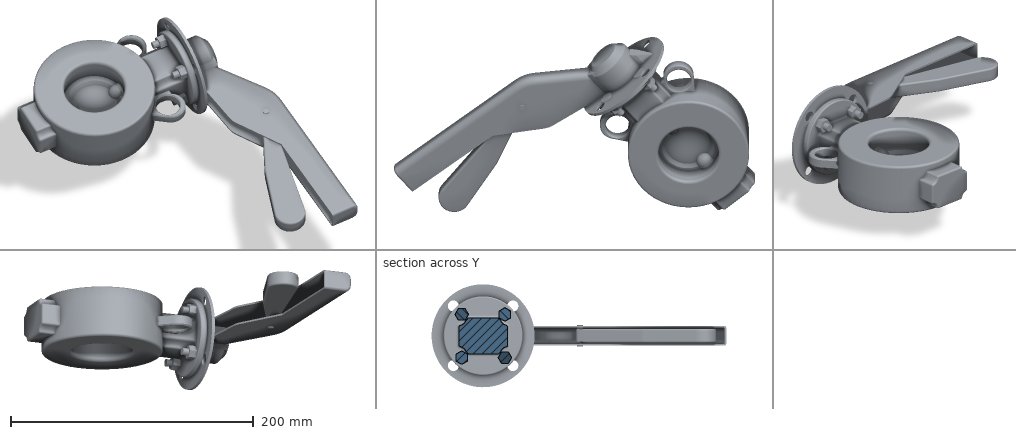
import cadquery as cq
import math


body_dia = 100.0
body_height = 42.5
body_fillet = 2.0
bore_dia = 50.0
bore_fillet = 2.5

neck_half_width = 20.15
neck_half_height = 14.9
neck_notch_radius = 6.0
neck_edge_fillet = 1.8
neck_root_fillet = 2.0
boss_end_y = -61.5

flange_dia = 65.0
flange_bottom_y = 75.0
flange_top_y = 80.6
flange_fillet = 1.0

ear_x = 34.3
ear_y = 52.8
ear_dia = 25.0
ear_hole_dia = 20.0
ear_hole_x = 33.0
ear_hole_y = 51.0
ear_thickness = 8.5
ear_chamfer = 1.0
ear_web_top_y = 59.4
ear_web_angle = 37.0
ear_web_length = 20.0

disc_thickness = 7.0
disc_recess_depth = 2.5
disc_recess_rim_dia = 42.5
disc_recess_floor_dia = 36.8
disc_recess_shift = 1.13
hub_collar_dia = 15.5
hub_collar_inner_y = 22.5
hub_dome_dia = 15.0
hub_dome_y = 21.5

plate_dia = 85.0
plate_top_y = 83.2
plate_hole_dia = 9.0
plate_hole_offset = 24.5

bolt_offset = 17.8
bolt_dia = 6.0
bolt_end_y = 63.9
bolt_head_dia = 11.0
bolt_head_height = 0.8
nut_corner_dia = 11.5
nut_end_y = 69.0

cap_dia = 37.5
cap_top_y = 108.2
cap_chamfer = 6.0
root_start_x = 14.8
root_end_x = 19.5
root_start_half_height = 11.5
root_top_y = 105.2
lever_start_x = 15.0
lever_roof_start = (lever_start_x, 103.5)
lever_knee = (62.9, 135.7)
lever_top_y = 140.3
lever_end_foot_y = 116.2
lever_end_lean = 0.3
lever_grip_start = (115.7, 113.2)
lever_belly = (75.5, 88.7)
lever_heel = (29.3, plate_top_y)
lever_end_x = 250.5 - body_dia / 2
lever_height = 16.3
lever_wall = 1.5
lever_roof_fillet = 5.3
lever_end_fillet = 2.0
lever_knee_radius = 32.5
lever_belly_radius = 18.8
pointer_tip_x = -31.5
pointer_shoulder_x = -22.3
pointer_half_height = 5.3
pointer_tip_half_height = 1.13

pin_x = 80.0
pin_y = 117.7
pin_dia = 5.0
pin_length = 18.0
trigger_eye_radius = 3.3
trigger_tip_x = 179.0
trigger_tip_y = 87.7
trigger_tip_radius = 12.8
trigger_bend_x = 131.5
trigger_bend_y = 89.5
trigger_top_angle = 78.2
trigger_front_angle = 252.0
trigger_rear_angle = 241.5
trigger_height = 11.5
trigger_fillet = 1.5


def y_cylinder(dia, y_from, y_to, x=0.0, z=0.0):
    """Cylinder along Y between two Y positions."""
    return cq.Workplane("XZ", origin=(x, y_from, z)).circle(dia / 2).extrude(y_from - y_to)


def z_cylinder(dia, length, x=0.0, y=0.0):
    """Cylinder along Z, centred on the plane Z = 0."""
    return cq.Workplane("XY", origin=(x, y, -length / 2)).circle(dia / 2).extrude(length)


def on_circle(x, y, radius, degrees):
    """Point on a circle around x, y at an angle from +X."""
    angle = math.radians(degrees)
    return (x + radius * math.cos(angle), y + radius * math.sin(angle))


def mid_plane(height):
    """Workplane from which an extrusion of this height is centred on Z = 0."""
    return cq.Workplane("XY", origin=(0, 0, -height / 2))


def four_corners(offset):
    """The X, Z places of four features on a square pattern."""
    return [(x, z) for x in (-offset, offset) for z in (-offset, offset)]


def make_neck(y_from, y_to):
    """Rectangular bar along Y with a concave notch along each corner."""
    bar = cq.Workplane("XZ", origin=(0, y_from, 0)).rect(2 * neck_half_width, 2 * neck_half_height)
    bar = bar.extrude(y_from - y_to)
    for x in (-neck_half_width, neck_half_width):
        for z in (-neck_half_height, neck_half_height):
            bar = bar.cut(y_cylinder(2 * neck_notch_radius, y_from, y_to, x, z))
    return bar.edges("|Y").fillet(neck_edge_fillet)


def make_ear(side):
    """Ring beside the neck with a flat web to the body; side is -1 or +1 along X."""
    tangent_x, tangent_y = on_circle(ear_x, ear_y, ear_dia / 2, -ear_web_angle)
    inner_x, inner_y = on_circle(tangent_x, tangent_y, ear_web_length, -90 - ear_web_angle)
    web = [
        (side * ear_x, ear_y),
        (side * tangent_x, tangent_y),
        (side * inner_x, inner_y),
        (side * neck_half_width / 2, inner_y),
        (side * neck_half_width / 2, ear_web_top_y),
        (side * ear_x, ear_web_top_y),
    ]
    ear = mid_plane(ear_thickness).polyline(web).close().extrude(ear_thickness)
    ear = ear.union(z_cylinder(ear_dia, ear_thickness, side * ear_x, ear_y))
    ear = ear.cut(z_cylinder(ear_hole_dia, ear_thickness, side * ear_hole_x, ear_hole_y))
    return ear.faces("<Z or >Z").edges().chamfer(ear_chamfer)


def make_housing():
    """Round body with its bore, ears, bottom boss and the neck that carries the bolted flange."""
    flange = y_cylinder(flange_dia, flange_bottom_y, flange_top_y).edges().fillet(flange_fillet)
    upper = flange.union(make_neck(0, flange_bottom_y))
    root_edges = cq.selectors.BoxSelector(
        (-neck_half_width - 2.5, flange_bottom_y - 0.03, -neck_half_height - 2.5),
        (neck_half_width + 2.5, flange_bottom_y + 0.03, neck_half_height + 2.5),
        boundingbox=True,
    )
    upper = upper.edges(root_edges).fillet(neck_root_fillet)
    boss = make_neck(boss_end_y, 0).faces("<Y").edges().fillet(neck_edge_fillet)
    body = z_cylinder(body_dia, body_height).edges().fillet(body_fillet)
    housing = body.union(upper).union(boss)
    for side in (-1, 1):
        housing = housing.union(make_ear(side))
    for x, z in four_corners(bolt_offset):
        housing = housing.cut(y_cylinder(bolt_dia, bolt_end_y, flange_top_y, x, z))
        housing = housing.cut(y_cylinder(nut_corner_dia, nut_end_y, flange_bottom_y, x, z))
    housing = housing.cut(z_cylinder(bore_dia, body_height))
    bore_rims = cq.selectors.RadiusNthSelector(0)
    return housing.faces("<Z or >Z").edges(bore_rims).fillet(bore_fillet)


def make_disc():
    """Closed disc, dished on both faces, with a domed hub at each end of the stem axis."""
    disc = z_cylinder(bore_dia, disc_thickness)
    recess = (
        mid_plane(disc_thickness)
        .center(disc_recess_shift, 0)
        .circle(disc_recess_rim_dia / 2)
        .workplane(offset=disc_recess_depth)
        .circle(disc_recess_floor_dia / 2)
        .loft()
    )
    disc = disc.cut(recess).cut(recess.mirror("XY"))
    for side in (-1, 1):
        collar = y_cylinder(hub_collar_dia, side * hub_collar_inner_y, side * bore_dia / 2)
        dome = cq.Workplane("XY").center(0, side * hub_dome_y).sphere(hub_dome_dia / 2)
        disc = disc.union(collar).union(dome)
    return disc.intersect(z_cylinder(bore_dia, body_height))


def make_plate():
    """Round plate on the flange, with four open holes and four bolt holes."""
    plate = y_cylinder(plate_dia, flange_top_y, plate_top_y)
    for x, z in four_corners(plate_hole_offset):
        plate = plate.cut(y_cylinder(plate_hole_dia, flange_top_y, plate_top_y, x, z))
    for x, z in four_corners(bolt_offset):
        plate = plate.cut(y_cylinder(bolt_dia, flange_top_y, plate_top_y, x, z))
    return plate


def make_bolt(x, z):
    """Bolt with its flat head on the plate and its hex nut under the flange."""
    bolt = y_cylinder(bolt_dia, bolt_end_y, plate_top_y, x, z)
    head = y_cylinder(bolt_head_dia, plate_top_y, plate_top_y + bolt_head_height, x, z)
    nut = cq.Workplane("XZ", origin=(x, nut_end_y, z)).polygon(6, nut_corner_dia)
    nut = nut.extrude(nut_end_y - flange_bottom_y)
    if x * z > 0:
        nut = nut.rotate((x, 0, z), (x, 1, z), 90)
    return bolt.union(head).union(nut)


def make_lever_arm():
    """Bent sheet arm: a roof, two sides and an end wall, open below."""
    roof_end = (lever_end_x - lever_end_lean, lever_top_y)
    end_foot = (lever_end_x, lever_end_foot_y)
    outline = [
        (lever_start_x, plate_top_y),
        lever_roof_start,
        lever_knee,
        roof_end,
        end_foot,
        lever_grip_start,
        lever_belly,
        lever_heel,
    ]
    arm = mid_plane(lever_height).polyline(outline).close().extrude(lever_height)
    nearest = cq.selectors.NearestToPointSelector
    arm = arm.edges(nearest((*lever_knee, 0))).fillet(lever_knee_radius)
    arm = arm.edges(nearest((*lever_belly, 0))).fillet(lever_belly_radius)
    open_slope = 0.3
    level_slope = 0.01
    roof_middle_x = (lever_knee[0] + lever_end_x) / 2
    for z in (-lever_height / 2, lever_height / 2):
        arm = arm.edges(nearest((roof_middle_x, lever_top_y, z))).fillet(lever_roof_fillet)
    arm = arm.faces(">X").edges("not(<Y)").fillet(lever_end_fillet)
    open_faces = [
        face
        for face in arm.faces().vals()
        if face.normalAt().y < -open_slope and abs(face.normalAt().z) < level_slope
    ]
    return arm.newObject(open_faces).shell(-lever_wall)


def make_cap():
    """Round cap over the stem with a tapered root that carries the arm."""
    cap = y_cylinder(cap_dia, plate_top_y, cap_top_y).faces(">Y").chamfer(cap_chamfer)
    root_outline = [
        (0, -root_start_half_height),
        (root_start_x, -root_start_half_height),
        (root_end_x, -lever_height / 2),
        (root_end_x, lever_height / 2),
        (root_start_x, root_start_half_height),
        (0, root_start_half_height),
    ]
    root = cq.Workplane("XZ", origin=(0, plate_top_y, 0)).polyline(root_outline).close()
    return cap.union(root.extrude(plate_top_y - root_top_y))


def make_pointer():
    """Arrow-shaped rib on the cap, with its top sloping down to the tip at 45 degrees."""
    plan = [
        (pointer_tip_x, -pointer_tip_half_height),
        (pointer_shoulder_x, -pointer_half_height),
        (0, -pointer_half_height),
        (0, pointer_half_height),
        (pointer_shoulder_x, pointer_half_height),
        (pointer_tip_x, pointer_tip_half_height),
    ]
    height = -cap_dia / 2 - pointer_tip_x
    slope = [
        (pointer_tip_x, plate_top_y),
        (pointer_tip_x + height, plate_top_y + height),
        (0, plate_top_y + height),
        (0, plate_top_y),
    ]
    rib = cq.Workplane("XZ", origin=(0, plate_top_y, 0)).polyline(plan).close().extrude(-height)
    wedge = mid_plane(2 * pointer_half_height).polyline(slope).close().extrude(2 * pointer_half_height)
    return rib.intersect(wedge)


def make_lever():
    """Cap, pointer and arm in one piece, with the pin hole through both sides of the arm."""
    lever = make_lever_arm().union(make_cap()).union(make_pointer())
    return lever.cut(z_cylinder(pin_dia, pin_length, pin_x, pin_y))


def make_trigger():
    """Tapered grip with a round tip and an eye around the pin."""
    outline = (
        mid_plane(trigger_height)
        .moveTo(*on_circle(pin_x, pin_y, trigger_eye_radius, trigger_top_angle))
        .lineTo(*on_circle(trigger_tip_x, trigger_tip_y, trigger_tip_radius, trigger_top_angle))
        .threePointArc(
            (trigger_tip_x + trigger_tip_radius, trigger_tip_y),
            on_circle(trigger_tip_x, trigger_tip_y, trigger_tip_radius, trigger_front_angle),
        )
        .lineTo(trigger_bend_x, trigger_bend_y)
        .lineTo(*on_circle(pin_x, pin_y, trigger_eye_radius, trigger_rear_angle))
        .threePointArc(
            (pin_x - trigger_eye_radius, pin_y),
            on_circle(pin_x, pin_y, trigger_eye_radius, trigger_top_angle),
        )
        .close()
    )
    trigger = outline.extrude(trigger_height)
    trigger = trigger.faces("<Z or >Z").edges().fillet(trigger_fillet)
    return trigger.cut(z_cylinder(pin_dia, trigger_height, pin_x, pin_y))


housing = make_housing()
disc = make_disc()
plate = make_plate()
lever = make_lever()
trigger = make_trigger()
pin = z_cylinder(pin_dia, pin_length, pin_x, pin_y)
bolts = [make_bolt(x, z) for x, z in four_corners(bolt_offset)]

result = cq.Compound.makeCompound(
    [
        housing.val(),
        disc.val(),
        plate.val(),
        lever.val(),
        trigger.val(),
        pin.val(),
        *[bolt.val() for bolt in bolts],
    ]
)